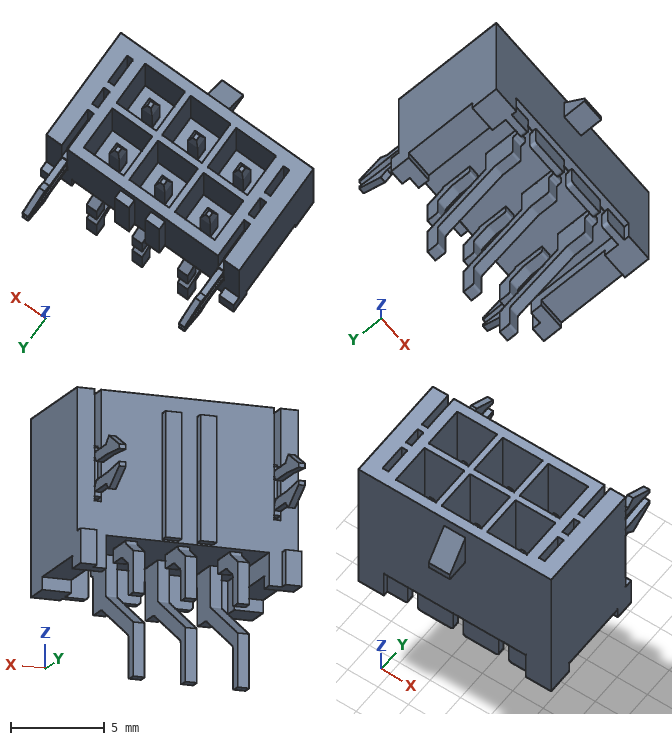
import cadquery as cq


HOUSING_WIDTH = 12.7
HOUSING_DEPTH = 6.83
HOUSING_HEIGHT = 9.92
STANDOFF = 0.52
BOARD_PLANE = HOUSING_DEPTH + STANDOFF

COLUMNS = 3
PITCH = 3.0
FRONT_ROW_Y = 1.92
BACK_ROW_Y = FRONT_ROW_Y + PITCH
ROW_YS = [FRONT_ROW_Y, BACK_ROW_Y]
COLUMN_XS = [(i - (COLUMNS - 1) / 2) * PITCH for i in range(COLUMNS)]

POCKET_SIZE = 2.62
POCKET_DEPTH = 6.5

LATCH_WIDTH = 1.4
LATCH_REACH = 1.42
LATCH_TOP = HOUSING_HEIGHT - 0.64
LATCH_NOSE_TOP = HOUSING_HEIGHT - 2.4
LATCH_BOTTOM = HOUSING_HEIGHT - 2.8

CAVITY_WIDTH = 9.35
RECESS_HEIGHT = 1.94
RECESS_DEPTH = 0.32
APRON_THICKNESS = 0.43
CAVITY_HEIGHT = RECESS_HEIGHT - 0.1
GAP_WIDTH = 0.64
GAP_TOP_DEPTH = 0.22
GAP_CORNER_RADIUS = 0.22
NOTCH_FRONT = 1.68
NOTCH_BACK = 6.12
NOTCH_HEIGHT = 0.71

RIB_WIDTH = 0.93
RIB_X = 1.0
RIB_TOP = HOUSING_HEIGHT - 0.97
RIB_BOTTOM = RECESS_HEIGHT
PAD_X = (HOUSING_WIDTH - RIB_WIDTH) / 2

CLIP_X = 5.15
CLIP_THICKNESS = 0.38
CLIP_Z = 5.3
CLIP_REACH = 3.61
CLIP_SLOT_LENGTH = 2.4
CLIP_BASE_INSET = 0.51
CLIP_BASE_HALF_HEIGHT = 1.6
ARM_OUTER = 1.1
ARM_INNER = 0.51
ARM_SHOULDER = 1.35
ARM_ROOT_INNER = 0.79
ARM_ROOT_BEVEL = ARM_ROOT_INNER - ARM_INNER
BARB_PEAK = 1.48
BARB_TIP_OUTER = 0.61
BARB_TIP_INNER = 0.36
BARB_START = 1.65
BARB_PEAK_REACH = 2.1
INNER_BEND_REACH = 1.9
SLOT_BOTTOM = CLIP_Z - CLIP_BASE_HALF_HEIGHT
BLIND_SLOT_SPANS = [(0.82, 2.55), (2.96, 4.03)]

PIN_WIDTH = 0.66
PIN_DEPTH = 0.69
PIN_TIP_WIDTH = 0.25
PIN_TIP_DEPTH = 0.31
PIN_TIP_LENGTH = 0.75
PIN_TOP = HOUSING_HEIGHT - 2.2
FOOT_FRONT = -0.54
FOOT_BACK = 1.345
LOWER_BEND = 0.73
SLOPE = 0.615
UPPER_BEND_RISE = 0.62
TAIL_THICKNESS = 0.72
CORNER_RADIUS = 0.15
LOWER_BEND_RADIUS = 0.2
TAIL_BEND_RADIUS = 0.3
FOOT_STEP_Z = 0.99
FRONT_FOOT_BOTTOM = -1.08
BACK_FOOT_BOTTOM = 1.05
FRONT_TAIL_BOTTOM = -5.98
BACK_TAIL_BOTTOM = -1.33


def block(x_span, y_span, z_span):
    """A box between the given limits."""
    x0, x1 = x_span
    y0, y1 = y_span
    z0, z1 = z_span
    return cq.Workplane("XY").box(x1 - x0, y1 - y0, z1 - z0, centered=False).translate((x0, y0, z0))


def span(centre, width):
    """The limits of a width centred on a point."""
    return (centre - width / 2, centre + width / 2)


def side_profile(points, x_centre, thickness):
    """A closed outline in the YZ plane, extruded equally to both sides of x_centre."""
    outline = cq.Workplane("YZ").polyline(points).close()
    return outline.extrude(thickness / 2, both=True).translate((x_centre, 0, 0))


def latch():
    points = [
        (0, LATCH_TOP),
        (-LATCH_REACH, LATCH_NOSE_TOP),
        (-LATCH_REACH, LATCH_BOTTOM),
        (0, LATCH_BOTTOM),
    ]
    return side_profile(points, 0, LATCH_WIDTH)


def apron_gap(x):
    """The opening in the front apron before one contact, with rounded lower corners."""
    apron_back = RECESS_DEPTH + APRON_THICKNESS
    half_gap = GAP_WIDTH / 2
    r = GAP_CORNER_RADIUS
    opening = (
        cq.Workplane("XZ")
        .moveTo(-half_gap - r, 0)
        .radiusArc((-half_gap, r), -r)
        .lineTo(-half_gap, CAVITY_HEIGHT)
        .lineTo(half_gap, CAVITY_HEIGHT)
        .lineTo(half_gap, r)
        .radiusArc((half_gap + r, 0), -r)
        .close()
        .extrude(-apron_back)
        .translate((x, 0, 0))
    )
    top = block(
        span(x, GAP_WIDTH), (RECESS_DEPTH, RECESS_DEPTH + GAP_TOP_DEPTH), (CAVITY_HEIGHT, RECESS_HEIGHT)
    )
    return opening.union(top)


def cut_bottom(body):
    """Open the underside: front recess, contact cavity, side notches and apron gaps."""
    cavity_x = span(0, CAVITY_WIDTH)
    apron_back = RECESS_DEPTH + APRON_THICKNESS
    body = body.cut(block(cavity_x, (0, RECESS_DEPTH), (0, RECESS_HEIGHT)))
    body = body.cut(block(cavity_x, (apron_back, HOUSING_DEPTH), (0, CAVITY_HEIGHT)))
    body = body.cut(block(span(0, HOUSING_WIDTH), (NOTCH_FRONT, NOTCH_BACK), (0, NOTCH_HEIGHT)))
    for x in COLUMN_XS:
        body = body.cut(apron_gap(x))
    return body


def cut_contact_holes(body):
    """A square pocket for each contact, with a fitting pin hole through its floor."""
    floor = HOUSING_HEIGHT - POCKET_DEPTH
    for y in ROW_YS:
        for x in COLUMN_XS:
            body = body.cut(block(span(x, POCKET_SIZE), span(y, POCKET_SIZE), (floor, HOUSING_HEIGHT)))
            body = body.cut(block(span(x, PIN_WIDTH), span(y, PIN_DEPTH), (CAVITY_HEIGHT, floor)))
    return body


def cut_clip_slots(body):
    """On each side, the clip's slot open to the board face and two closed slots in line with it."""
    clip_slot = (HOUSING_DEPTH - CLIP_SLOT_LENGTH, HOUSING_DEPTH)
    for x in (-CLIP_X, CLIP_X):
        for y_span in [clip_slot, *BLIND_SLOT_SPANS]:
            body = body.cut(block(span(x, CLIP_THICKNESS), y_span, (SLOT_BOTTOM, HOUSING_HEIGHT)))
    return body


def make_housing():
    body = block(span(0, HOUSING_WIDTH), (0, HOUSING_DEPTH), (0, HOUSING_HEIGHT))
    body = body.union(latch())
    for side in (-1, 1):
        standoff_y = (HOUSING_DEPTH, BOARD_PLANE)
        body = body.union(block(span(side * RIB_X, RIB_WIDTH), standoff_y, (RIB_BOTTOM, RIB_TOP)))
        body = body.union(block(span(side * PAD_X, RIB_WIDTH), standoff_y, (0, RECESS_HEIGHT)))
    body = cut_bottom(body)
    body = cut_contact_holes(body)
    return cut_clip_slots(body)


def make_clip(x):
    """A flat board clip: a base plate in the slot and two barbed arms past the board face."""
    upper_half = [
        (-CLIP_SLOT_LENGTH, CLIP_BASE_HALF_HEIGHT),
        (-CLIP_BASE_INSET, CLIP_BASE_HALF_HEIGHT),
        (-CLIP_BASE_INSET, ARM_SHOULDER),
        (0, ARM_SHOULDER),
        (0, ARM_OUTER),
        (BARB_START, ARM_OUTER),
        (BARB_PEAK_REACH, BARB_PEAK),
        (CLIP_REACH, BARB_TIP_OUTER),
        (CLIP_REACH, BARB_TIP_INNER),
        (INNER_BEND_REACH, ARM_INNER),
        (ARM_ROOT_BEVEL, ARM_INNER),
        (0, ARM_ROOT_INNER),
        (-CLIP_BASE_INSET, ARM_ROOT_INNER),
    ]
    lower_half = [(y, -z) for y, z in reversed(upper_half)]
    points = [(HOUSING_DEPTH + y, CLIP_Z + z) for y, z in upper_half + lower_half]
    return side_profile(points, x, CLIP_THICKNESS)


def pin_shaft(x, y):
    """The rectangular shaft from the cavity ceiling up to its tapered tip."""
    taper_start = PIN_TOP - PIN_TIP_LENGTH
    shaft = block(span(x, PIN_WIDTH), span(y, PIN_DEPTH), (CAVITY_HEIGHT, taper_start))
    tip = (
        cq.Workplane("XY", origin=(x, y, taper_start))
        .rect(PIN_WIDTH, PIN_DEPTH)
        .workplane(offset=PIN_TIP_LENGTH)
        .rect(PIN_TIP_WIDTH, PIN_TIP_DEPTH)
        .loft(ruled=True)
    )
    return shaft.union(tip)


def pin_tail(x, row_y, foot_bottom, tail_bottom):
    """The foot below the cavity ceiling, the sloped run to the board and the solder tail."""
    foot_front = row_y + FOOT_FRONT
    foot_back = row_y + FOOT_BACK
    lower_bend_y = row_y + LOWER_BEND
    tail_inner = BOARD_PLANE - TAIL_THICKNESS
    upper_bend_z = foot_bottom + UPPER_BEND_RISE
    tail_bend_z = foot_bottom - SLOPE * (tail_inner - lower_bend_y)
    points = [
        (foot_front, CAVITY_HEIGHT),
        (foot_back, CAVITY_HEIGHT),
        (foot_back, upper_bend_z),
        (BOARD_PLANE, upper_bend_z - SLOPE * (BOARD_PLANE - foot_back)),
        (BOARD_PLANE, tail_bottom),
        (tail_inner, tail_bottom),
        (tail_inner, tail_bend_z),
        (lower_bend_y, foot_bottom),
        (foot_front, foot_bottom),
    ]
    tail = side_profile(points, x, PIN_WIDTH)

    def round_edge(body, y, z, radius):
        corner = cq.selectors.NearestToPointSelector((x, y, z))
        return body.edges("|X").edges(corner).fillet(radius)

    tail = round_edge(tail, foot_back, upper_bend_z, CORNER_RADIUS)
    tail = round_edge(tail, tail_inner, tail_bend_z, TAIL_BEND_RADIUS)
    tail = round_edge(tail, lower_bend_y, foot_bottom, LOWER_BEND_RADIUS)
    tail = round_edge(tail, foot_front, foot_bottom, CORNER_RADIUS)
    return round_edge(tail, tail_inner, tail_bottom, CORNER_RADIUS)


def foot_step(x):
    """The step on the front of a front-row foot: two arcs that widen it towards the cavity ceiling."""
    front = FRONT_ROW_Y + FOOT_FRONT
    r = CORNER_RADIUS
    step = (
        cq.Workplane("YZ")
        .moveTo(front, FOOT_STEP_Z)
        .radiusArc((front - r, FOOT_STEP_Z + r), -r)
        .radiusArc((front - 2 * r, FOOT_STEP_Z + 2 * r), r)
        .lineTo(front - 2 * r, CAVITY_HEIGHT)
        .lineTo(front, CAVITY_HEIGHT)
        .close()
    )
    return step.extrude(PIN_WIDTH / 2, both=True).translate((x, 0, 0))


def make_front_pin(x):
    tail = pin_tail(x, FRONT_ROW_Y, FRONT_FOOT_BOTTOM, FRONT_TAIL_BOTTOM)
    return pin_shaft(x, FRONT_ROW_Y).union(tail).union(foot_step(x))


def make_back_pin(x):
    tail = pin_tail(x, BACK_ROW_Y, BACK_FOOT_BOTTOM, BACK_TAIL_BOTTOM)
    return pin_shaft(x, BACK_ROW_Y).union(tail)


housing = make_housing()
clips = [make_clip(x) for x in (-CLIP_X, CLIP_X)]
front_pins = [make_front_pin(x) for x in COLUMN_XS]
back_pins = [make_back_pin(x) for x in COLUMN_XS]

bodies = [housing, *clips, *front_pins, *back_pins]
result = cq.Compound.makeCompound([solid for body in bodies for solid in body.solids().vals()])